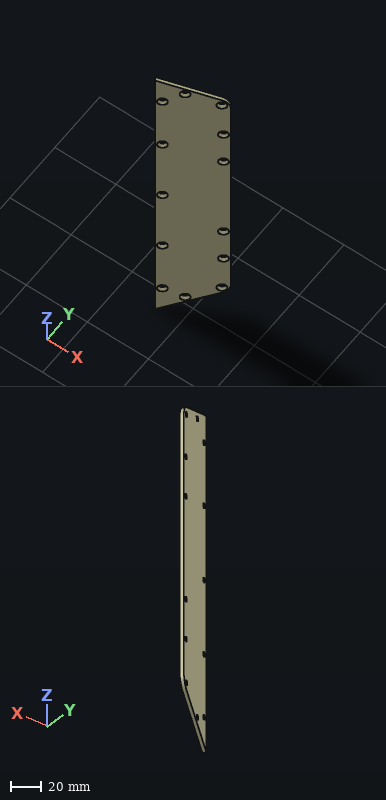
import cadquery as cq
import math

plate_width = 50.37
plate_length = 266.72
plate_thickness = 3.0
plate_turn = 34.52
end_slope = 25.5
corner_radius = 11.0

hole_diameter = 3.3
sink_diameter = 7.3
sink_angle = 90.0
edge_inset = 5.0
corner_inset = 6.0
end_hole_place = 20.0
long_edge_heights = (58.8, 108.8)
short_edge_heights = (40.7, 72.2)
corner_hole_height = 106.2
end_hole_height = 118.2

half_width = plate_width / 2
half_length = plate_length / 2
short_half_length = half_length - plate_width * math.tan(math.radians(end_slope))


def make_plate():
    """Trapezoid with its outer face on the XZ plane and its thickness toward +Y."""
    outline = [
        (-half_width, -half_length),
        (half_width, -short_half_length),
        (half_width, short_half_length),
        (-half_width, half_length),
    ]
    plate = cq.Workplane("XZ").polyline(outline).close().extrude(-plate_thickness)
    return plate.edges("|Y and >X").fillet(corner_radius)


def hole_places():
    """Hole centres (across, up), mirrored about mid-height."""
    long_edge = -half_width + edge_inset
    short_edge = half_width - edge_inset
    upper = [(long_edge, height) for height in long_edge_heights]
    upper += [(short_edge, height) for height in short_edge_heights]
    upper.append((half_width - corner_inset, corner_hole_height))
    upper.append((-half_width + end_hole_place, end_hole_height))
    lower = [(across, -height) for across, height in upper]
    return upper + lower + [(long_edge, 0)]


def cut_screw_holes(plate):
    """Holes countersunk from the outer face."""
    outer_face = cq.Workplane("XZ").add(plate)
    return outer_face.pushPoints(hole_places()).cskHole(hole_diameter, sink_diameter, sink_angle)


flat_plate = cut_screw_holes(make_plate())
centred_plate = flat_plate.translate((0, -plate_thickness / 2, 0))
result = centred_plate.rotate((0, 0, 0), (0, 0, 1), plate_turn)